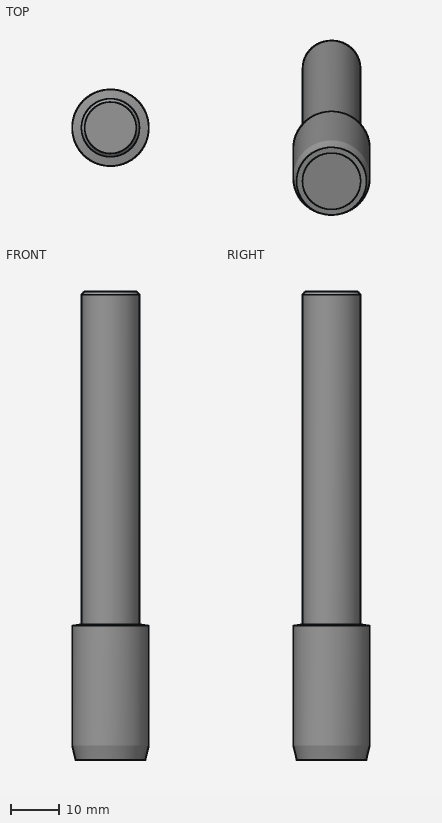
import cadquery as cq

total_height = 96.8
pin_diameter = 12.0
sleeve_diameter = 15.9
sleeve_height = 28.1

pin_chamfer = 0.7
crown_height = 0.3
lead_in_height = 3.0
lead_in_diameter = 14.4

pin_radius = pin_diameter / 2
sleeve_radius = sleeve_diameter / 2
lead_in_radius = lead_in_diameter / 2


def make_pin():
    """Straight pin running through the sleeve, chamfered at its upper end."""
    return cq.Workplane("XY").circle(pin_radius).extrude(total_height).faces(">Z").chamfer(pin_chamfer)


def make_sleeve():
    """Bored sleeve with a tapered lower end and a slightly conical top."""
    profile = (
        cq.Workplane("XZ")
        .moveTo(pin_radius, 0)
        .lineTo(lead_in_radius, 0)
        .lineTo(sleeve_radius, lead_in_height)
        .lineTo(sleeve_radius, sleeve_height - crown_height)
        .lineTo(pin_radius, sleeve_height)
        .close()
    )
    return profile.revolve(360, (0, 0, 0), (0, 1, 0))


pin = make_pin()
sleeve = make_sleeve()
result = cq.Compound.makeCompound([pin.val(), sleeve.val()])